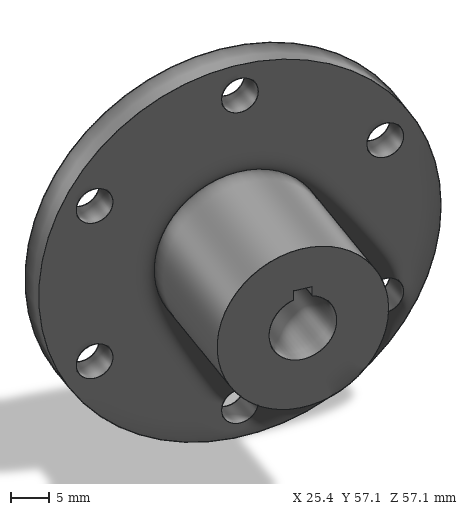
import cadquery as cq

flange_diameter = 57.15
flange_thickness = 4.6
hub_diameter = 24.35
total_length = 25.4

bore_diameter = 9.6
keyway_width = 2.65
keyway_top = 6.0

bolt_count = 6
bolt_hole_diameter = 5.2
bolt_circle_diameter = 47.65


def cylinder_along_x(diameter, length):
    """Solid cylinder on the X axis, starting at the flange face."""
    return cq.Workplane("YZ").circle(diameter / 2).extrude(length)


def bolt_holes():
    """Ring of hole cutters, with one hole directly above the axis."""
    return (
        cq.Workplane("YZ")
        .polarArray(bolt_circle_diameter / 2, 90, 360, bolt_count)
        .circle(bolt_hole_diameter / 2)
        .extrude(flange_thickness)
    )


def keyed_bore():
    """Cutter for the through bore and its keyway."""
    keyway = (
        cq.Workplane("YZ")
        .center(0, keyway_top / 2)
        .rect(keyway_width, keyway_top)
        .extrude(total_length)
    )
    return cylinder_along_x(bore_diameter, total_length).union(keyway)


flange = cylinder_along_x(flange_diameter, flange_thickness)
hub = cylinder_along_x(hub_diameter, total_length)
result = flange.union(hub).cut(bolt_holes()).cut(keyed_bore())